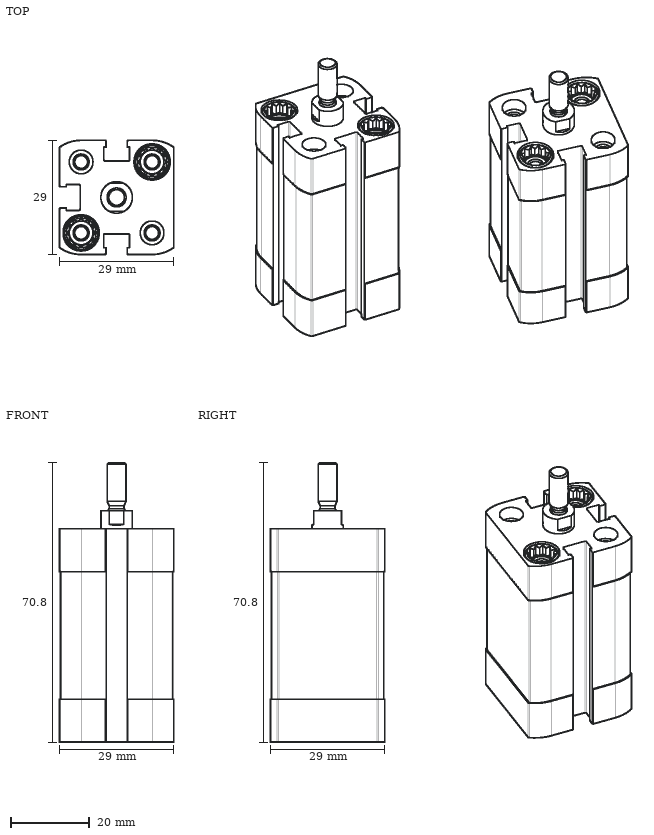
import cadquery as cq
import math

total_height = 70.75
housing_height = 54.05
cap_width = 29.0
cap_height = 10.9
tube_inset = 0.3
tube_width = cap_width - 2 * tube_inset
round_radius = 9.4
edge_fillet = 0.5
hole_offset = 9.0
round_center_x = hole_offset

slot_mouth_width = 5.3
slot_inner_width = 6.5
slot_depth = 5.25
slot_lip = 1.8
slot_mouth_chamfer = 0.2
slot_corner_fillet = 0.3
slot_angles = (90, 180, 270)

through_diameter = 3.25
through_rim_diameter = 4.0
counterbore_diameter = 6.0
counterbore_depth = 3.5

groove_diameter = 9.2
groove_depth = 1.05
head_base_diameter = 8.5
head_top_diameter = 7.6
head_cone_height = (head_base_diameter - head_top_diameter) / 2
spline_teeth = 12
spline_root_diameter = 7.2
spline_tip_diameter = 6.1
spline_depth = 3.1
spline_lead_in = (head_top_diameter - counterbore_diameter) / 2

collar_diameter = 8.0
collar_height = 4.6
flat_width = 7.1
flat_height = 3.5
flat_runout = 0.3
stud_diameter = 4.8
stud_chamfer = 0.4
neck_diameter = 3.8
neck_foot_height = 0.5
neck_foot_width = 0.3
neck_height = 0.7
neck_cone_height = 1.1


def rounded_section(width, z_bottom, height):
    """Square bar whose +Y and -Y sides curve down into the flat X sides."""
    half = width / 2
    center_y = half - round_radius

    def arc_point(x):
        return center_y + math.sqrt(round_radius**2 - (x - round_center_x) ** 2)

    side_y = arc_point(half)
    mid_x = (round_center_x + half) / 2
    mid_y = arc_point(mid_x)
    bar = (
        cq.Workplane("XY")
        .workplane(offset=z_bottom)
        .moveTo(-round_center_x, half)
        .lineTo(round_center_x, half)
        .threePointArc((mid_x, mid_y), (half, side_y))
        .lineTo(half, -side_y)
        .threePointArc((mid_x, -mid_y), (round_center_x, -half))
        .lineTo(-round_center_x, -half)
        .threePointArc((-mid_x, -mid_y), (-half, -side_y))
        .lineTo(-half, side_y)
        .threePointArc((-mid_x, mid_y), (-round_center_x, half))
        .close()
        .extrude(height)
    )
    side_edges = bar.faces("<X or >X").edges("|Z")
    return side_edges.fillet(edge_fillet)


def slot_cutter(angle):
    """Full-height T-slot, opening at +X before it is turned by the angle around Z."""
    surface = cap_width / 2
    mouth = slot_mouth_width / 2
    inner = slot_inner_width / 2
    upper_side = [
        (surface, mouth + slot_mouth_chamfer),
        (surface - slot_mouth_chamfer, mouth),
        (surface - slot_lip, mouth),
        (surface - slot_lip, inner),
        (surface - slot_depth, inner),
    ]
    lower_side = [(x, -y) for x, y in reversed(upper_side)]
    cutter = cq.Workplane("XY").polyline(upper_side + lower_side).close().extrude(housing_height)
    cutter = cutter.faces("<X").edges("|Z").fillet(slot_corner_fillet)
    return cutter.rotate((0, 0, 0), (0, 0, 1), angle)


def revolve_profile(points):
    """Turn a closed (radius, height) profile around the Z axis."""
    return cq.Workplane("XZ").polyline(points).close().revolve(360, (0, 0, 0), (0, 1, 0))


def mounting_hole_cutter():
    """Counterbored through hole with a chamfered rim on the counterbore floor."""
    floor = housing_height - counterbore_depth
    bore = through_diameter / 2
    rim = through_rim_diameter / 2
    counterbore = counterbore_diameter / 2
    return revolve_profile(
        [
            (0, 0),
            (bore, 0),
            (bore, floor - (rim - bore)),
            (rim, floor),
            (counterbore, floor),
            (counterbore, housing_height),
            (0, housing_height),
        ]
    )


def spline_cutter():
    """Star-shaped socket with V teeth; a root lies on the X axis."""
    step = math.pi / spline_teeth
    star = []
    for i in range(2 * spline_teeth):
        radius = (spline_root_diameter if i % 2 == 0 else spline_tip_diameter) / 2
        star.append((radius * math.cos(i * step), radius * math.sin(i * step)))
    return (
        cq.Workplane("XY")
        .workplane(offset=housing_height)
        .polyline(star)
        .close()
        .extrude(-spline_depth)
    )


def head_groove_cutter():
    """Ring groove around the screw head, whose inner wall is the head's side and top cone."""
    floor = housing_height - groove_depth
    return revolve_profile(
        [
            (head_top_diameter / 2, housing_height),
            (head_base_diameter / 2, housing_height - head_cone_height),
            (head_base_diameter / 2, floor),
            (groove_diameter / 2, floor),
            (groove_diameter / 2, housing_height),
        ]
    )


def socket_cutter():
    """Splined socket with a cone leading in over the teeth."""
    cone_bottom = housing_height - spline_lead_in
    lead_in = revolve_profile(
        [
            (0, housing_height),
            (head_top_diameter / 2, housing_height),
            (counterbore_diameter / 2, cone_bottom),
            (0, cone_bottom),
        ]
    )
    return spline_cutter().union(lead_in)


def make_housing():
    top_cap_bottom = housing_height - cap_height
    tube_height = housing_height - 2 * cap_height
    body = rounded_section(tube_width, cap_height, tube_height)
    for z_bottom in (0, top_cap_bottom):
        cap = rounded_section(cap_width, z_bottom, cap_height)
        body = body.union(cap, clean=False)
    for angle in slot_angles:
        body = body.cut(slot_cutter(angle))
    for side_x in (-1, 1):
        for side_y in (-1, 1):
            center = (side_x * hole_offset, side_y * hole_offset, 0)
            body = body.cut(mounting_hole_cutter().translate(center))
            if side_x == side_y:
                body = body.cut(socket_cutter().translate(center))
                body = body.cut(head_groove_cutter().translate(center))
    return body.solids()


def flat_cutter():
    """Material removed for the wrench flat on the +Y side, with a sloping lower end."""
    flat_y = flat_width / 2
    collar_radius = collar_diameter / 2
    collar_top = housing_height + collar_height
    flat_bottom = collar_top - flat_height
    return (
        cq.Workplane("YZ")
        .polyline(
            [
                (flat_y, collar_top),
                (flat_y, flat_bottom),
                (collar_radius, flat_bottom - flat_runout),
                (collar_radius, collar_top),
            ]
        )
        .close()
        .extrude(collar_radius, both=True)
    )


def make_rod():
    """Collar resting on the housing, necked stud with a chamfered tip, two wrench flats."""
    collar = collar_diameter / 2
    neck = neck_diameter / 2
    stud = stud_diameter / 2
    collar_top = housing_height + collar_height
    neck_bottom = collar_top + neck_foot_height
    neck_top = neck_bottom + neck_height
    stud_bottom = neck_top + neck_cone_height
    rod = revolve_profile(
        [
            (0, housing_height),
            (collar, housing_height),
            (collar, collar_top),
            (neck + neck_foot_width, collar_top),
            (neck, neck_bottom),
            (neck, neck_top),
            (stud, stud_bottom),
            (stud, total_height - stud_chamfer),
            (stud - stud_chamfer, total_height),
            (0, total_height),
        ]
    )
    for angle in (0, 180):
        rod = rod.cut(flat_cutter().rotate((0, 0, 0), (0, 0, 1), angle))
    return rod.solids()


housing = make_housing()
rod = make_rod()
result = cq.Compound.makeCompound([housing.val(), rod.val()])